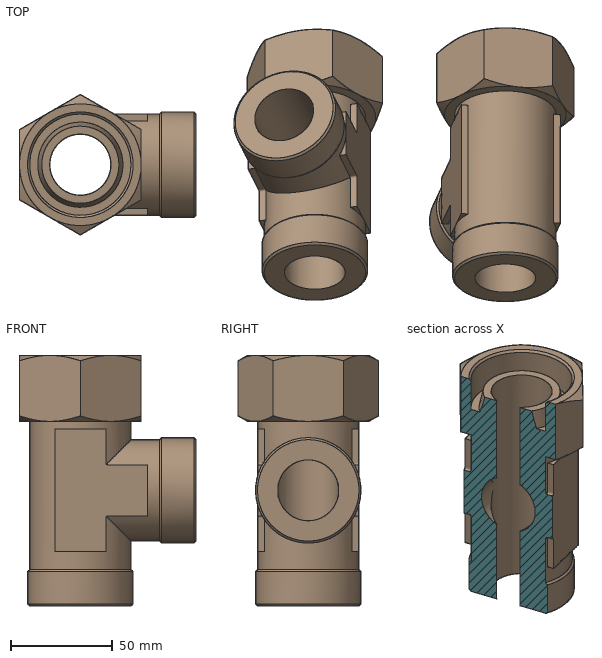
import cadquery as cq
import math

BODY_DIAMETER = 50.0
BORE_DIAMETER = 30.0
END_LENGTH = 57.0

COLLAR_DIAMETER = 52.0
COLLAR_LENGTH = 18.0
COLLAR_CHAMFER = 1.0

PAD_WIDTH = 25.2
PAD_HEIGHT = 60.4
PAD_REACH = 33.0
PAD_CORNER_RADIUS = 1.0

NUT_SIDES = 6
NUT_ACROSS_FLATS = 60.0
NUT_HEIGHT = 32.5
NUT_TOP = 66.5
NUT_BOTTOM = NUT_TOP - NUT_HEIGHT
NUT_CHAMFER_ANGLE = 30.0
THREAD_DIAMETER = 52.0
THREAD_CORE_DIAMETER = 49.84

NOSE_TIP_DIAMETER = 38.0
NOSE_BASE_DIAMETER = 42.0
NOSE_TAPER_ANGLE = 12.0
NOSE_TIP_DEPTH = 8.0
NOSE_TIP = NUT_TOP - NOSE_TIP_DEPTH
NOSE_LENGTH = (NOSE_BASE_DIAMETER - NOSE_TIP_DIAMETER) / 2 / math.tan(math.radians(NOSE_TAPER_ANGLE))
SHOULDER = NOSE_TIP - NOSE_LENGTH


def end_arm():
    """Arm from the origin down the -Z axis, ending in a chamfered collar."""
    arm = cq.Workplane("XY").circle(BODY_DIAMETER / 2).extrude(-END_LENGTH)
    collar = (
        cq.Workplane("XY")
        .workplane(offset=-END_LENGTH)
        .circle(COLLAR_DIAMETER / 2)
        .extrude(COLLAR_LENGTH)
        .edges()
        .chamfer(COLLAR_CHAMFER)
    )
    return arm.union(collar)


def turn_to_branch(shape):
    """Turn a shape lying along -Z so that it lies along +X."""
    return shape.rotate((0, 0, 0), (0, 1, 0), -90)


def wrench_pads():
    """T-shaped block whose two Y faces are the wrench pads."""
    upright = cq.Workplane("XY").box(PAD_WIDTH, BODY_DIAMETER, PAD_HEIGHT)
    crossbar = cq.Workplane("XY").box(PAD_REACH, BODY_DIAMETER, PAD_WIDTH, centered=(False, True, True))
    half_width = PAD_WIDTH / 2
    inner_corners = cq.selectors.BoxSelector(
        (half_width - PAD_CORNER_RADIUS, -BODY_DIAMETER, -half_width - PAD_CORNER_RADIUS),
        (half_width + PAD_CORNER_RADIUS, BODY_DIAMETER, half_width + PAD_CORNER_RADIUS),
    )
    return upright.union(crossbar).edges("|Y").edges(inner_corners).fillet(PAD_CORNER_RADIUS)


def hexagon_nut():
    """Hexagon nut, corners on the Y axis, with both ends chamfered and a threaded bore."""
    across_corners = NUT_ACROSS_FLATS / math.cos(math.pi / NUT_SIDES)
    flat_radius = NUT_ACROSS_FLATS / 2
    corner_radius = across_corners / 2
    corner_drop = (corner_radius - flat_radius) * math.tan(math.radians(NUT_CHAMFER_ANGLE))
    hexagon = (
        cq.Workplane("XY")
        .workplane(offset=NUT_BOTTOM)
        .transformed(rotate=(0, 0, 90))
        .polygon(NUT_SIDES, across_corners)
        .extrude(NUT_HEIGHT)
    )
    chamfer_envelope = (
        cq.Workplane("XZ")
        .moveTo(0, NUT_BOTTOM)
        .lineTo(flat_radius, NUT_BOTTOM)
        .lineTo(corner_radius, NUT_BOTTOM + corner_drop)
        .lineTo(corner_radius, NUT_TOP - corner_drop)
        .lineTo(flat_radius, NUT_TOP)
        .lineTo(0, NUT_TOP)
        .close()
        .revolve(360, (0, 0), (0, 1))
    )
    bore_radius = THREAD_CORE_DIAMETER / 2
    mouth_radius = THREAD_DIAMETER / 2
    bore = (
        cq.Workplane("XZ")
        .moveTo(0, SHOULDER)
        .lineTo(bore_radius, SHOULDER)
        .lineTo(bore_radius, NUT_TOP - (mouth_radius - bore_radius))
        .lineTo(mouth_radius, NUT_TOP)
        .lineTo(0, NUT_TOP)
        .close()
        .revolve(360, (0, 0), (0, 1))
    )
    return hexagon.intersect(chamfer_envelope).cut(bore)


def upper_arm():
    """Upper body arm, filling the nut up to the shoulder and ending in the tapered nose."""
    arm = cq.Workplane("XY").circle(BODY_DIAMETER / 2).extrude(SHOULDER)
    nose = (
        cq.Workplane("XY")
        .workplane(offset=SHOULDER)
        .circle(NOSE_BASE_DIAMETER / 2)
        .extrude(NOSE_LENGTH, taper=NOSE_TAPER_ANGLE)
    )
    return arm.union(nose)


def bores():
    """Through bore of the run, joined by the bore of the branch."""
    run = (
        cq.Workplane("XY")
        .workplane(offset=-END_LENGTH)
        .circle(BORE_DIAMETER / 2)
        .extrude(END_LENGTH + NOSE_TIP)
    )
    branch = cq.Workplane("YZ").circle(BORE_DIAMETER / 2).extrude(END_LENGTH)
    return run.union(branch)


body = end_arm().union(upper_arm()).union(turn_to_branch(end_arm()))
result = body.union(wrench_pads()).union(hexagon_nut()).cut(bores())